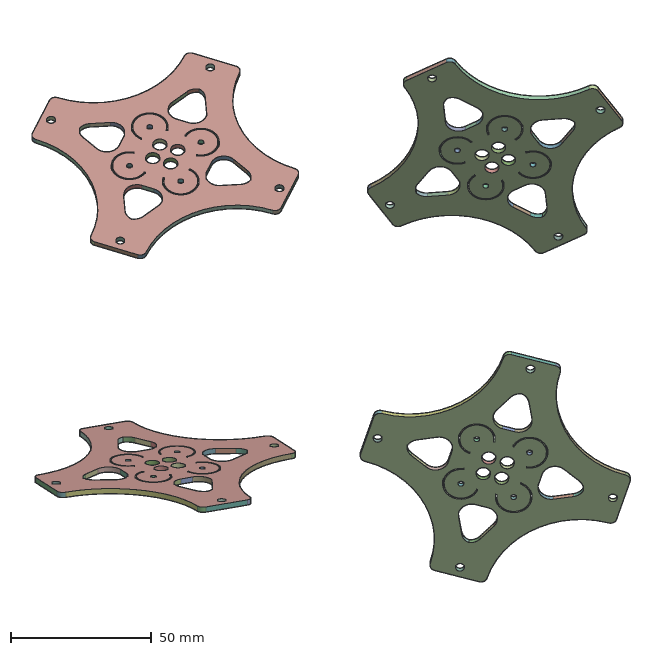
import cadquery as cq
import math

span = 95.1
thickness = 2.0
arm_half_width = 10.55
corner_radius = 2.3

arm_hole_diameter = 3.1
arm_hole_reach = 43.6

window_radius = 4.8
window_base_reach = 16.7
window_base_half_width = 2.3
window_tip_reach = 28.0
window_tip_overlap = 0.9

center_hole_diameter = 5.0
center_hole_pitch = 6.8

pad_pitch = 19.6
pad_hole_diameter = 2.0
slot_mean_radius = 6.3
slot_width = 0.5
slot_sweep = 256.0

arm_angles = [0, 90, 180, 270]
half_span = span / 2


def make_plate():
    """Cross outline: each arm end has rounded corners that run into the concave arcs."""
    arc_center = half_span - corner_radius
    arc_radius = arc_center - arm_half_width
    arc_middle = arc_center - arc_radius * math.sqrt(0.5)
    corner_center = arm_half_width - corner_radius
    corner_offset = corner_radius * math.sqrt(0.5)

    def turned(x, y, quarter_turns):
        for _ in range(quarter_turns):
            x, y = -y, x
        return x, y

    outline = cq.Workplane("XY").moveTo(half_span, -corner_center)
    for turn in range(len(arm_angles)):
        outline = (
            outline.lineTo(*turned(half_span, corner_center, turn))
            .threePointArc(
                turned(arc_center + corner_offset, corner_center + corner_offset, turn),
                turned(arc_center, arm_half_width, turn),
            )
            .threePointArc(
                turned(arc_middle, arc_middle, turn),
                turned(arm_half_width, arc_center, turn),
            )
            .threePointArc(
                turned(corner_center + corner_offset, arc_center + corner_offset, turn),
                turned(corner_center, half_span, turn),
            )
        )
    return outline.close().extrude(thickness)


def make_window():
    """Window in the +Y arm; its two tip arcs meet in a blunt point on the arm axis."""
    base_center_y = window_base_reach + window_radius
    lean = math.atan2(
        window_base_half_width + window_tip_overlap,
        window_tip_reach - base_center_y,
    )
    apex_angle = math.acos(window_tip_overlap / window_radius)

    def base_arc(angle):
        x = window_base_half_width + window_radius * math.cos(angle)
        return x, base_center_y + window_radius * math.sin(angle)

    def tip_arc(angle):
        x = -window_tip_overlap + window_radius * math.cos(angle)
        return x, window_tip_reach + window_radius * math.sin(angle)

    def mirrored(point):
        return -point[0], point[1]

    base_start = base_arc(-math.pi / 2)
    base_middle = base_arc((lean - math.pi / 2) / 2)
    base_end = base_arc(lean)
    tip_start = tip_arc(lean)
    tip_middle = tip_arc((lean + apex_angle) / 2)
    apex = tip_arc(apex_angle)
    return (
        cq.Workplane("XY")
        .moveTo(*base_start)
        .threePointArc(base_middle, base_end)
        .lineTo(*tip_start)
        .threePointArc(tip_middle, apex)
        .threePointArc(mirrored(tip_middle), mirrored(tip_start))
        .lineTo(*mirrored(base_end))
        .threePointArc(mirrored(base_middle), mirrored(base_start))
        .close()
        .extrude(thickness)
    )


def make_ring_slot():
    """Open ring slot around the pad in the +X +Y quadrant, symmetric about the diagonal."""
    inner_radius = slot_mean_radius - slot_width / 2
    outer_radius = slot_mean_radius + slot_width / 2
    diagonal = math.radians(45)
    start = diagonal - math.radians(slot_sweep / 2)
    end = diagonal + math.radians(slot_sweep / 2)

    def on_ring(radius, angle):
        return (
            pad_pitch / 2 + radius * math.cos(angle),
            pad_pitch / 2 + radius * math.sin(angle),
        )

    return (
        cq.Workplane("XY")
        .moveTo(*on_ring(outer_radius, start))
        .threePointArc(on_ring(outer_radius, diagonal), on_ring(outer_radius, end))
        .lineTo(*on_ring(inner_radius, end))
        .threePointArc(on_ring(inner_radius, diagonal), on_ring(inner_radius, start))
        .close()
        .extrude(thickness)
    )


def drill_square(plate, pitch, diameter):
    """Drill four through holes at the corners of a centred square."""
    return plate.faces(">Z").workplane(origin=(0, 0, 0)).rarray(pitch, pitch, 2, 2).hole(diameter)


result = make_plate()

window = make_window()
ring_slot = make_ring_slot()
for arm_angle in arm_angles:
    result = result.cut(window.rotate((0, 0, 0), (0, 0, 1), arm_angle))
    result = result.cut(ring_slot.rotate((0, 0, 0), (0, 0, 1), arm_angle))

result = drill_square(result, center_hole_pitch, center_hole_diameter)
result = drill_square(result, pad_pitch, pad_hole_diameter)
result = (
    result.faces(">Z")
    .workplane(origin=(0, 0, 0))
    .polarArray(arm_hole_reach, 0, 360, len(arm_angles))
    .hole(arm_hole_diameter)
)